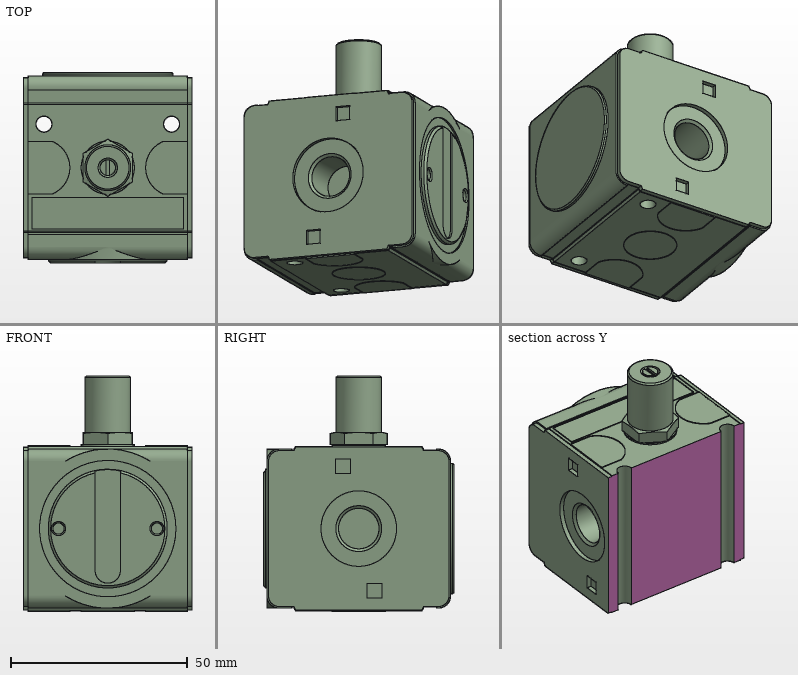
import cadquery as cq
import math

overall_width = 47.8
overall_depth = 54.0
overall_height = 66.7

body_width = 45.15
body_depth = 52.0
raised_height = 46.55
shoulder_height = 45.1
deck_half_depth = 17.9
deck_slope = 0.5
corner_radius = 3.5
shoulder_recess_end = 22.1
shoulder_recess_depth = 0.35
groove_end = 18.95

plate_thickness = (overall_width - body_width) / 2
plate_inset = 0.5
plate_deck_drop = 0.2
window_width = 4.2
window_height = 4.1
window_offset_y = 4.5
window_offset_z = 17.6

port_diameter = 11.5
port_chamfer_diameter = 13.0
port_depth = 13.35
plate_opening_diameter = 21.4

dial_diameter = 33.7
dial_chamfer = 0.7
dial_recess_diameter = 38.6
dial_recess_depth = 0.5
dial_slot_width = 7.15
dial_slot_bottom = 15.5
dial_slot_depth = 0.55
dial_hole_offset = 13.95
dial_hole_diameter = 3.2
dial_hole_chamfer_diameter = 4.0
dial_hole_depth = 2.0
cap_diameter = 37.0
cap_chamfer = 0.4

pad_face_height = 46.95
pad_depth = 14.9
pad_reach = 10.75
pad_radius = 8.1
label_width = 42.95
label_back = -8.4
label_front = -17.35
label_recess_depth = 0.2
mount_hole_diameter = 4.5
mount_hole_x = 18.1
mount_hole_y = 12.35

collar_diameter = 15.1
hex_bottom = 23.75
hex_top = 27.3
hex_across_flats = 14.0
hex_chamfer_diameter = 13.5
hex_chamfer_angle = 15.0
stem_diameter = 13.0
stem_chamfer = 0.5
screw_diameter = 4.4
screw_groove_diameter = 5.5
screw_groove_depth = 0.7
screw_slot_width = 1.0
screw_slot_depth = 0.7

pad_half_height = pad_face_height / 2
stem_top = overall_height - pad_half_height


def block_section(width, inset, deck_drop):
    """Stepped block centred on the origin, extruded along X."""
    half_depth = body_depth / 2 - inset
    shoulder = shoulder_height / 2 - inset
    deck = raised_height / 2 - deck_drop
    base = (
        cq.Workplane("YZ")
        .rect(2 * half_depth, 2 * shoulder)
        .extrude(width / 2, both=True)
        .edges("|X")
        .fillet(corner_radius - inset)
    )
    foot = deck_half_depth + deck_slope
    decks = (
        cq.Workplane("YZ")
        .polyline([
            (-foot, -shoulder), (-deck_half_depth, -deck), (deck_half_depth, -deck), (foot, -shoulder),
            (foot, shoulder), (deck_half_depth, deck), (-deck_half_depth, deck), (-foot, shoulder),
        ])
        .close()
        .extrude(width / 2, both=True)
    )
    return base.union(decks)


def disc_y(diameter, y_start, y_end):
    """Cylinder about the Y axis between two Y positions."""
    return cq.Workplane("XZ", origin=(0, y_start, 0)).circle(diameter / 2).extrude(y_start - y_end)


def make_body():
    body = block_section(body_width, 0, 0)
    foot = deck_half_depth + deck_slope
    shoulder = shoulder_height / 2
    for side in (1, -1):
        for start, end in ((foot, shoulder_recess_end), (-groove_end, -foot)):
            sunk = cq.Workplane("XY").box(body_width, end - start, 2 * shoulder_recess_depth)
            body = body.cut(sunk.translate((0, (start + end) / 2, side * shoulder)))
    shroud = disc_y(shoulder_height, corner_radius - body_depth / 2, -body_depth / 2)
    return body.union(shroud)


def add_end_plates(body):
    plates = block_section(overall_width, plate_inset, plate_deck_drop)
    for side in (1, -1):
        for sign in (1, -1):
            window = cq.Workplane("XY").box(plate_thickness, window_width, window_height)
            plates = plates.cut(window.translate((
                side * (body_width + plate_thickness) / 2,
                -sign * window_offset_y,
                sign * window_offset_z,
            )))
        face = cq.Workplane("YZ", origin=(side * body_width / 2, 0, 0))
        plates = plates.cut(face.circle(plate_opening_diameter / 2).extrude(side * plate_thickness))
    return body.union(plates)


def countersunk_hole(outer_diameter, inner_diameter, depth):
    """Hole along -Z from the origin with a 45 degree countersink."""
    outer = outer_diameter / 2
    inner = inner_diameter / 2
    return (
        cq.Workplane("XZ")
        .polyline([(0, 0), (outer, 0), (inner, inner - outer), (inner, -depth), (0, -depth)])
        .close()
        .revolve(360, (0, 0, 0), (0, 1, 0))
    )


def cut_ports(part):
    port = countersunk_hole(port_chamfer_diameter, port_diameter, port_depth)
    for side in (1, -1):
        turned = port.rotate((0, 0, 0), (0, 1, 0), side * 90)
        part = part.cut(turned.translate((side * body_width / 2, 0, 0)))
    return part


def add_dial(part):
    front = -overall_depth / 2
    floor = dial_recess_depth - body_depth / 2
    part = part.cut(disc_y(dial_recess_diameter, floor, -body_depth / 2))
    dial = disc_y(dial_diameter, floor, front).faces("<Y").chamfer(dial_chamfer)
    slot_end = dial_slot_width / 2 - dial_slot_bottom
    slot_plane = cq.Workplane("XZ", origin=(0, front + dial_slot_depth, 0))
    half_width = dial_slot_width / 2
    slot = (
        slot_plane.moveTo(-half_width, dial_diameter)
        .lineTo(-half_width, slot_end)
        .threePointArc((0, -dial_slot_bottom), (half_width, slot_end))
        .lineTo(half_width, dial_diameter)
        .close()
        .extrude(dial_slot_depth)
    )
    part = part.union(dial.cut(slot))
    hole = countersunk_hole(dial_hole_chamfer_diameter, dial_hole_diameter, dial_hole_depth)
    hole = hole.rotate((0, 0, 0), (1, 0, 0), 90)
    for side in (1, -1):
        part = part.cut(hole.translate((side * dial_hole_offset, front, 0)))
    return part


def add_rear_cap(part):
    cap = disc_y(cap_diameter, overall_depth / 2, 0).faces(">Y").chamfer(cap_chamfer)
    return part.union(cap)


def add_deck_details(part):
    pad_outer = body_width / 2
    pad_half = pad_depth / 2
    arc_start = pad_reach + pad_radius - math.sqrt(pad_radius ** 2 - pad_half ** 2)
    core = cq.Workplane("XY").box(overall_width, body_depth, shoulder_height)
    for side in (1, -1):
        pad = (
            cq.Workplane("XY")
            .moveTo(side * pad_outer, pad_half)
            .lineTo(side * arc_start, pad_half)
            .threePointArc((side * pad_reach, 0), (side * arc_start, -pad_half))
            .lineTo(side * pad_outer, -pad_half)
            .close()
            .extrude(pad_half_height, both=True)
        )
        part = part.union(pad.cut(core))
    bottom_disc = cq.Workplane("XY", origin=(0, 0, -pad_half_height)).circle(collar_diameter / 2)
    part = part.union(bottom_disc.extrude(pad_half_height - shoulder_height / 2))
    label = cq.Workplane("XY").box(label_width, label_back - label_front, 2 * label_recess_depth)
    part = part.cut(label.translate((0, (label_back + label_front) / 2, raised_height / 2)))
    holes = cq.Workplane("XY").pushPoints([(-mount_hole_x, mount_hole_y), (mount_hole_x, mount_hole_y)])
    return part.cut(holes.circle(mount_hole_diameter / 2).extrude(overall_height, both=True))


def make_stem():
    base = shoulder_height / 2
    collar = cq.Workplane("XY", origin=(0, 0, base)).circle(collar_diameter / 2).extrude(hex_bottom - base)
    corner_diameter = hex_across_flats / math.cos(math.pi / 6)
    nut = (
        cq.Workplane("XY", origin=(0, 0, hex_bottom))
        .polygon(6, corner_diameter)
        .extrude(hex_top - hex_bottom)
        .rotate((0, 0, 0), (0, 0, 1), 30)
    )
    bevel_run = (corner_diameter - hex_chamfer_diameter) / 2
    bevel_drop = bevel_run * math.tan(math.radians(hex_chamfer_angle))
    envelope = (
        cq.Workplane("XZ")
        .polyline([
            (0, hex_bottom), (corner_diameter / 2, hex_bottom), (corner_diameter / 2, hex_top - bevel_drop),
            (hex_chamfer_diameter / 2, hex_top), (0, hex_top),
        ])
        .close()
        .revolve(360, (0, 0, 0), (0, 1, 0))
    )
    post = (
        cq.Workplane("XY", origin=(0, 0, base))
        .circle(stem_diameter / 2)
        .extrude(stem_top - base)
        .faces(">Z")
        .chamfer(stem_chamfer)
    )
    stem = collar.union(nut.intersect(envelope)).union(post)
    screw = cq.Workplane("XY").circle(screw_diameter / 2).extrude(-screw_groove_depth)
    groove = countersunk_hole(screw_groove_diameter, screw_diameter, screw_groove_depth).cut(screw)
    slot = cq.Workplane("XY").box(screw_slot_width, screw_diameter, 2 * screw_slot_depth)
    return stem.cut(groove.union(slot).translate((0, 0, stem_top)))


result = add_end_plates(make_body())
result = add_rear_cap(result)
result = add_dial(result)
result = add_deck_details(result)
result = cut_ports(result)
result = result.union(make_stem())